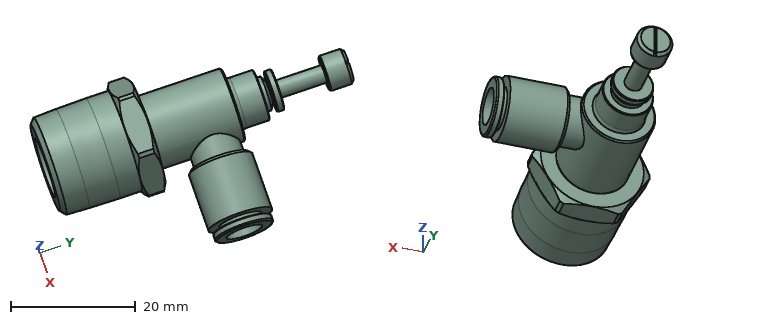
import cadquery as cq
import math


thread_length = 13.5
thread_tip_radius = 7.3
thread_start_radius = 8.25
thread_gauge_radius = 8.4
thread_radius = 8.5
thread_tip_length = 0.8
thread_gauge_y = 4.6
thread_taper_end_y = 9.75
bore_radius = 5.0

hex_across_flats = 17.4
hex_corner_radius = 9.85
hex_height = 3.95
hex_face_radius = 8.65
hex_chamfer_angle = 30

body_radius = 6.2
body_length = 14.4
body_edge = 0.25
collar_radius = 4.5
collar_length = 0.7
sleeve_radius = 4.3
sleeve_length = 4.8
sleeve_edge = 0.15

seat_radius = 2.9
seat_length = 0.75
seat_neck_radius = 1.95
seat_neck_length = 0.5
seat_gap = 0.25
lock_radius = 3.45
lock_length = 1.25
lock_edge = 0.15
rod_radius = 1.5
head_radius = 3.0
head_length = 4.2
head_top_chamfer = 0.5
head_bottom_chamfer = 0.25
slot_width = 0.4
slot_depth = 0.5
overall_length = 51.5

port_y = 26.8
port_neck_radius = 4.2
port_barrel_x = 8.2
port_barrel_radius = 5.4
port_barrel_length = 10.15
port_barrel_chamfer = 0.5
port_gap_radius = 3.6
port_gap_length = 0.8
port_end_x = 20.4
port_ring_radius = 4.95
port_ring_inner_chamfer = 0.15
port_ring_outer_chamfer = 0.25
passage_radius = 3.05

hex_end_y = thread_length + hex_height
body_end_y = hex_end_y + body_length
sleeve_end_y = body_end_y + sleeve_length
seat_end_y = sleeve_end_y + seat_length
seat_neck_y = seat_end_y + seat_neck_length
lock_start_y = seat_neck_y + seat_gap
lock_end_y = lock_start_y + lock_length
head_start_y = overall_length - head_length


def cylinder_y(radius, start, end):
    """Cylinder on the Y axis between two stations."""
    return cq.Workplane("XZ", origin=(0, start, 0)).circle(radius).extrude(start - end)


def cylinder_x(radius, start, end):
    """Cylinder on the side port axis between two X stations."""
    return cq.Workplane("YZ", origin=(start, port_y, 0)).circle(radius).extrude(end - start)


def turned(profile):
    """Solid of revolution about Y from (radius, y) points; the profile is closed along the axis."""
    points = [(0, profile[0][1])] + profile + [(0, profile[-1][1])]
    return cq.Workplane("XY").polyline(points).close().revolve(360, (0, 0, 0), (0, 1, 0))


def make_thread():
    return turned([
        (thread_tip_radius, 0),
        (thread_start_radius, thread_tip_length),
        (thread_gauge_radius, thread_gauge_y),
        (thread_radius, thread_taper_end_y),
        (thread_radius, thread_length),
    ])


def make_hexagon():
    """Hexagonal prism trimmed by a cylinder whose two ends are chamfered."""
    circumscribed_diameter = hex_across_flats / math.cos(math.pi / 6)
    prism = (
        cq.Workplane("XZ", origin=(0, thread_length, 0))
        .polygon(6, circumscribed_diameter)
        .extrude(-hex_height)
    )
    chamfer_height = (hex_corner_radius - hex_face_radius) * math.tan(math.radians(hex_chamfer_angle))
    envelope = turned([
        (hex_face_radius, thread_length),
        (hex_corner_radius, thread_length + chamfer_height),
        (hex_corner_radius, hex_end_y - chamfer_height),
        (hex_face_radius, hex_end_y),
    ])
    return prism.intersect(envelope)


def make_body():
    body = cylinder_y(body_radius, hex_end_y, body_end_y).edges("%CIRCLE").chamfer(body_edge)
    sleeve = turned([
        (collar_radius, body_end_y),
        (sleeve_radius, body_end_y + collar_length),
        (sleeve_radius, sleeve_end_y - sleeve_edge),
        (sleeve_radius - sleeve_edge, sleeve_end_y),
    ])
    return body.union(sleeve)


def make_needle():
    seat = turned([
        (seat_radius, sleeve_end_y),
        (seat_radius, seat_end_y),
        (seat_neck_radius, seat_neck_y),
        (seat_neck_radius, lock_start_y),
    ])
    lock = cylinder_y(lock_radius, lock_start_y, lock_end_y).edges("%CIRCLE").chamfer(lock_edge)
    rod = cylinder_y(rod_radius, lock_end_y, head_start_y)
    head = (
        cylinder_y(head_radius, head_start_y, overall_length)
        .faces(">Y").chamfer(head_top_chamfer)
        .faces("<Y").chamfer(head_bottom_chamfer)
    )
    slot = cq.Workplane("XY").box(slot_width, 2 * slot_depth, 2 * head_radius)
    head = head.cut(slot.translate((0, overall_length, 0)))
    return seat.union(lock).union(rod).union(head)


def make_port():
    """Side port along X, built from the axis outward; the flow path is cut afterwards."""
    barrel_end_x = port_barrel_x + port_barrel_length
    ring_start_x = barrel_end_x + port_gap_length
    neck = cylinder_x(port_neck_radius, 0, port_barrel_x)
    barrel = (
        cylinder_x(port_barrel_radius, port_barrel_x, barrel_end_x)
        .faces("<X").chamfer(port_barrel_chamfer)
    )
    gap = cylinder_x(port_gap_radius, barrel_end_x, ring_start_x)
    ring = (
        cylinder_x(port_ring_radius, ring_start_x, port_end_x)
        .faces("<X").chamfer(port_ring_inner_chamfer)
        .faces(">X").chamfer(port_ring_outer_chamfer)
    )
    return neck.union(barrel).union(gap).union(ring)


def make_flow_path():
    """Bore from the thread end to the port axis, and a round-ended passage out through the port."""
    bore = cylinder_y(bore_radius, 0, port_y)
    arc_offset = passage_radius * math.sqrt(0.5)
    passage = (
        cq.Workplane("XY")
        .moveTo(-passage_radius, port_y)
        .threePointArc((-arc_offset, port_y + arc_offset), (0, port_y + passage_radius))
        .lineTo(port_end_x, port_y + passage_radius)
        .lineTo(port_end_x, port_y)
        .close()
        .revolve(360, (0, port_y, 0), (1, port_y, 0))
    )
    return bore.union(passage)


result = (
    make_thread()
    .union(make_hexagon())
    .union(make_body())
    .union(make_needle())
    .union(make_port())
    .cut(make_flow_path())
)